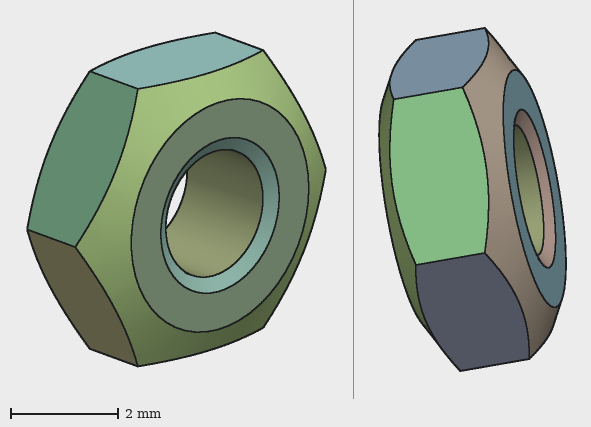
import cadquery as cq
import math

across_corners = 6.35
thickness = 2.4
bore_diameter = 2.46
countersink_diameter = 3.0
face_diameter = 4.495
chamfer_angle = 30.0
countersink_angle = 30.0

corner_radius = across_corners / 2
face_radius = face_diameter / 2
half_thickness = thickness / 2
chamfer_depth = (corner_radius - face_radius) * math.tan(math.radians(chamfer_angle))
countersink_width = (countersink_diameter - bore_diameter) / 2
countersink_depth = countersink_width * math.tan(math.radians(countersink_angle))


def hexagonal_blank():
    return (
        cq.Workplane("YZ")
        .polygon(6, across_corners)
        .extrude(half_thickness, both=True)
    )


def turned_envelope():
    """Solid of revolution about X that chamfers the corners and opens the bore."""
    bore_radius = bore_diameter / 2
    countersink_radius = countersink_diameter / 2
    chamfer_start = half_thickness - chamfer_depth
    countersink_end = half_thickness - countersink_depth
    profile = [
        (-countersink_end, bore_radius),
        (-half_thickness, countersink_radius),
        (-half_thickness, face_radius),
        (-chamfer_start, corner_radius),
        (chamfer_start, corner_radius),
        (half_thickness, face_radius),
        (half_thickness, countersink_radius),
        (countersink_end, bore_radius),
    ]
    return (
        cq.Workplane("XY")
        .polyline(profile)
        .close()
        .revolve(360, (0, 0, 0), (1, 0, 0))
    )


result = hexagonal_blank().intersect(turned_envelope())